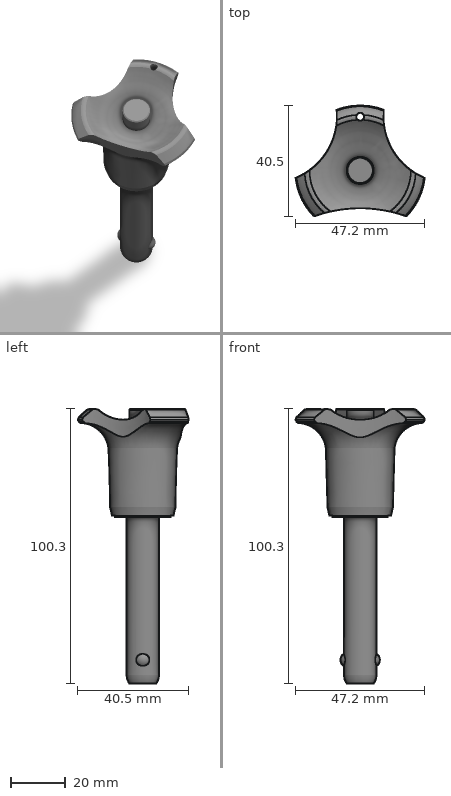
import cadquery as cq
import math


total_height = 100.3
handle_height = 39.5
shank_length = total_height - handle_height

shank_radius = 6.0
tip_radius = 4.9
tip_height = 3.2
tip_mid_drop = 0.27

ball_radius = 2.55
ball_reach = 7.25
ball_height_above_tip = 8.7

collar_radius = 10.15
collar_height = 0.55
cup_base_radius = 11.3
cup_bottom_radius = 12.0
cup_bottom_height = 3.65
cup_top_radius = 12.6
flare_depth = 14.2
flare_arc_radius = 10.0
flare_end_radius = 22.65
flare_end_depth = 5.2
cup_top_height = handle_height - flare_depth
flare_mid_radius = flare_end_radius - flare_arc_radius * math.cos(math.pi / 4)
flare_mid_depth = flare_end_depth + flare_arc_radius * (1 - math.sin(math.pi / 4))

rim_radius = 23.77
rim_depth = 3.9
rim_cone_radius = 23.4
rim_cone_depth = 3.0
rim_lower_radius = 23.4
rim_lower_depth = 4.65
crest_radius = 19.4
crest_half_width = 0.9
crest_drop = 0.2
crest_outer_radius = crest_radius + crest_half_width
crest_inner_radius = crest_radius - crest_half_width

dish_mid_radius = 13.85
dish_mid_depth = 3.95
dish_floor_radius = 6.2
dish_floor_depth = 6.4

button_radius = 5.0
button_chamfer = 0.4

side_scallop_direction = 31
front_scallop_direction = -90
side_scallop_radius = 24.2
side_scallop_gap = 14.0
front_scallop_radius = 50.0
front_scallop_gap = 13.85
scallops = [
    (side_scallop_direction, side_scallop_radius, side_scallop_gap),
    (180 - side_scallop_direction, side_scallop_radius, side_scallop_gap),
    (front_scallop_direction, front_scallop_radius, front_scallop_gap),
]

lanyard_hole_diameter = 2.8
lanyard_hole_offset = 19.6


def make_handle():
    """Revolved cup, flare, rounded rim and dish."""
    top = handle_height
    profile = (
        cq.Workplane("XZ")
        .moveTo(0, 0)
        .lineTo(collar_radius, 0)
        .lineTo(collar_radius, collar_height)
        .lineTo(cup_base_radius, collar_height)
        .lineTo(cup_bottom_radius, cup_bottom_height)
        .lineTo(cup_top_radius, cup_top_height)
        .threePointArc((flare_mid_radius, top - flare_mid_depth), (flare_end_radius, top - flare_end_depth))
        .lineTo(rim_lower_radius, top - rim_lower_depth)
        .lineTo(rim_radius, top - rim_depth)
        .lineTo(rim_cone_radius, top - rim_cone_depth)
        .lineTo(crest_outer_radius, top - crest_drop)
        .threePointArc((crest_radius, top), (crest_inner_radius, top - crest_drop))
        .threePointArc((dish_mid_radius, top - dish_mid_depth), (dish_floor_radius, top - dish_floor_depth))
        .lineTo(0, top - dish_floor_depth)
        .close()
    )
    return profile.revolve(360, (0, 0, 0), (0, 1, 0))


def make_scallop(direction, radius, gap):
    """Vertical cylinder that bites into the rim from the given direction."""
    angle = math.radians(direction)
    distance = gap + radius
    return (
        cq.Workplane("XY")
        .center(distance * math.cos(angle), distance * math.sin(angle))
        .circle(radius)
        .extrude(handle_height)
    )


def make_lanyard_hole():
    """Vertical through hole in the +Y lobe."""
    return (
        cq.Workplane("XY")
        .center(0, lanyard_hole_offset)
        .circle(lanyard_hole_diameter / 2)
        .extrude(handle_height)
    )


def make_button():
    """Release button, standing on the shank and level with the top of the rim."""
    return (
        cq.Workplane("XY")
        .circle(button_radius)
        .extrude(handle_height)
        .faces(">Z")
        .chamfer(button_chamfer)
    )


def make_shank():
    """Cylindrical shank with a rounded lead-in at its tip."""
    tip_mid_point = (shank_radius - tip_mid_drop, tip_height / 2 - shank_length)
    profile = (
        cq.Workplane("XZ")
        .moveTo(0, 0)
        .lineTo(shank_radius, 0)
        .lineTo(shank_radius, tip_height - shank_length)
        .threePointArc(tip_mid_point, (tip_radius, -shank_length))
        .lineTo(0, -shank_length)
        .close()
    )
    return profile.revolve(360, (0, 0, 0), (0, 1, 0))


def make_ball(side):
    """Locking ball on the +X (side = 1) or -X (side = -1) flank of the shank."""
    center_x = side * (ball_reach - ball_radius)
    center_z = ball_height_above_tip - shank_length
    return cq.Workplane("XY").sphere(ball_radius).translate((center_x, 0, center_z))


handle = make_handle()
for direction, radius, gap in scallops:
    handle = handle.cut(make_scallop(direction, radius, gap))
handle = handle.cut(make_lanyard_hole())

result = handle.union(make_button()).union(make_shank())
for side in (-1, 1):
    result = result.union(make_ball(side))